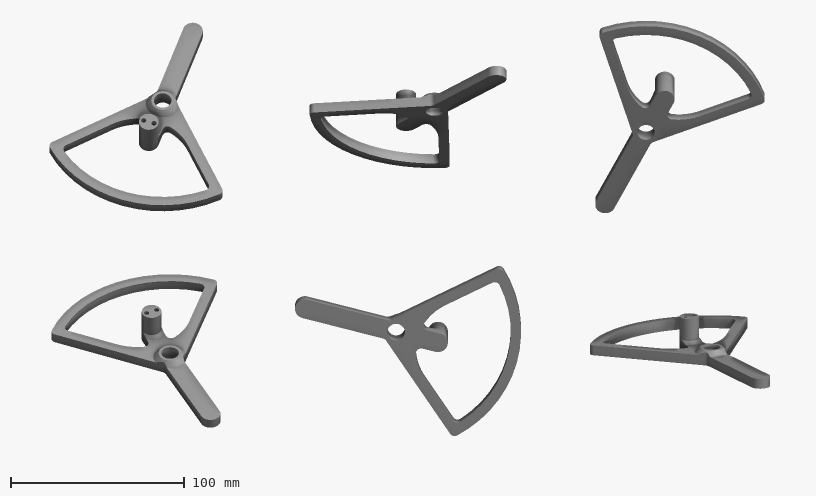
import cadquery as cq
import math

plate_thickness = 6.0
sector_radius = 72.0
handle_reach = 132 - sector_radius
bar_width = 11.5
half_bar = bar_width / 2
edge_angle = math.radians(41.9)
corner_radius = 3.0

hub_radius = 7.7
bore_diameter = 10.0
hub_height = 3.0
skirt_height = 2.0

rim_width = 6.0
window_top_radius = 31.0

pin_distance = 25.0
pin_radius = 5.7
pin_height = 15.0
pin_hole_diameter = 3.0
pin_hole_offset = 3.2
pin_hole_depth = 6.0


def edge_point(offset, along):
    """Point on the right straight edge, offset from the hub axis, measured from the foot of the normal."""
    x = offset * math.cos(edge_angle) + along * math.sin(edge_angle)
    y = offset * math.sin(edge_angle) - along * math.cos(edge_angle)
    return x, y


def mirrored(point):
    return -point[0], point[1]


def sector():
    """Sector whose straight edges are tangent to the hub and whose rim is centred on it."""
    start = edge_point(hub_radius, 0)
    corner = edge_point(hub_radius, math.sqrt(sector_radius**2 - hub_radius**2))
    body = (
        cq.Workplane("XY")
        .moveTo(*start)
        .lineTo(*corner)
        .threePointArc((0, -sector_radius), mirrored(corner))
        .lineTo(*mirrored(start))
        .threePointArc((0, hub_radius), start)
        .close()
        .extrude(plate_thickness)
    )
    return body.edges("|Z").edges("<X or >X").fillet(corner_radius)


def window():
    """Opening with a large round top, notched by the tongue that carries the pin."""
    offset = hub_radius - rim_width
    rim_radius = sector_radius - rim_width
    centre_y = (offset - window_top_radius) / math.sin(edge_angle)
    tangent = (
        window_top_radius * math.cos(edge_angle),
        centre_y + window_top_radius * math.sin(edge_angle),
    )
    corner = edge_point(offset, math.sqrt(rim_radius**2 - offset**2))
    opening = (
        cq.Workplane("XY")
        .moveTo(*tangent)
        .lineTo(*corner)
        .threePointArc((0, -rim_radius), mirrored(corner))
        .lineTo(*mirrored(tangent))
        .threePointArc((0, centre_y + window_top_radius), tangent)
        .close()
        .extrude(plate_thickness)
        .edges("|Z")
        .edges("<X or >X")
        .fillet(corner_radius)
    )
    tongue = cq.Workplane("XY").rect(bar_width, 2 * pin_distance).extrude(plate_thickness)
    return opening.cut(tongue).edges("|Z").edges(">Y").fillet(corner_radius)


def handle():
    straight_end = handle_reach - half_bar
    return (
        cq.Workplane("XY")
        .moveTo(-half_bar, 0)
        .lineTo(half_bar, 0)
        .lineTo(half_bar, straight_end)
        .threePointArc((0, handle_reach), (-half_bar, straight_end))
        .close()
        .extrude(plate_thickness)
    )


def cone(y, bottom_radius, height, bottom_z):
    """Upright 45 degree cone frustum centred on the Y axis."""
    solid = cq.Solid.makeCone(bottom_radius, bottom_radius - height, height, cq.Vector(0, y, bottom_z))
    return cq.Workplane(obj=solid)


def handle_root(plate):
    """Round the inner corners where the handle meets the straight sector edges."""
    root_y = (hub_radius - half_bar * math.cos(edge_angle)) / math.sin(edge_angle)
    for x in (-half_bar, half_bar):
        root = cq.selectors.NearestToPointSelector((x, root_y, plate_thickness / 2))
        plate = plate.edges("|Z").edges(root).fillet(corner_radius)
    return plate


plate = handle_root(sector().union(handle())).cut(window())

outline_above = plate.translate((0, 0, plate_thickness))
hub_skirt = cone(0, hub_radius + skirt_height, skirt_height, plate_thickness).intersect(outline_above)
pin_skirt = cone(-pin_distance, pin_radius + skirt_height, skirt_height, plate_thickness)
pin_skirt = pin_skirt.intersect(outline_above)

hub_top = cone(0, hub_radius, hub_height - skirt_height, plate_thickness + skirt_height)
pin = cq.Workplane("XY").center(0, -pin_distance).circle(pin_radius).extrude(plate_thickness + pin_height)

bore = cq.Workplane("XY").circle(bore_diameter / 2).extrude(plate_thickness + hub_height)
pin_holes = (
    cq.Workplane("XY", origin=(0, -pin_distance, plate_thickness + pin_height))
    .pushPoints([(-pin_hole_offset, 0), (pin_hole_offset, 0)])
    .circle(pin_hole_diameter / 2)
    .extrude(-pin_hole_depth)
)

result = (
    plate.union(hub_skirt)
    .union(pin_skirt)
    .union(hub_top)
    .union(pin)
    .cut(bore)
    .cut(pin_holes)
)